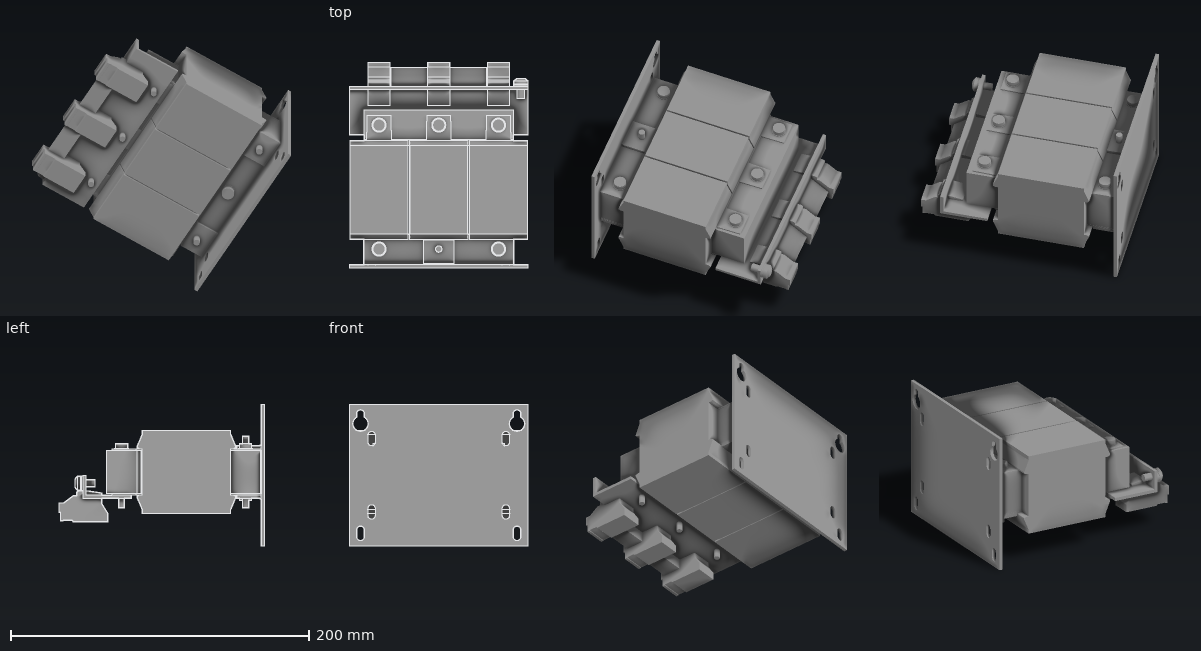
import cadquery as cq


PLATE_WIDTH = 120.0
PLATE_HEIGHT = 95.0
PLATE_THICKNESS = 2.3
KEYHOLE_X = 52.5
KEYHOLE_Z = 34.5
KEYHOLE_DIAMETER = 10.1
KEYHOLE_NECK_TOP = 43.8
SLOT_WIDTH = 5.0
SLOT_LENGTH = 9.5
LOWER_SLOT_Z = -39.0
INNER_SLOT_X = 45.0
INNER_SLOT_Z = 24.6

PHASE_PITCH = 40.0
CORE_MID_Z = 2.2
CORE_WIDTH = 100.1
CORE_HEIGHT = 29.0
CORE_FRONT = 2.6
CORE_BACK = 106.2
CORE_STEM_WIDTH = 99.9
LINER_WIDTH = 100.4
LINER_THICKNESS = 1.0
LINER_FLANGE_THICKNESS = 0.7
LINER_BACK = 86.3
LINER_HEIGHT = CORE_HEIGHT + 2 * LINER_THICKNESS
COIL_WIDTH = 39.0
COIL_FRONT = 22.8
COIL_BACK = 82.2
COIL_HEIGHT = 56.0
LIP_REACH = 3.5
LIP_OUTER_RISE = 25.3
LIP_EDGE_RISE = 17.1
LIP_BEVEL_WIDTH = 1.7
LIP_BEVEL_RISE = 0.7
LINER_TAB_WIDTH = 15.9
LINER_TAB_ROOT_WIDTH = 16.7
LINER_TAB_BACK = 102.5
LIP_BACK = COIL_BACK + LIP_REACH
LINER_TOP = CORE_MID_Z + LINER_HEIGHT / 2
LINER_BOTTOM = CORE_MID_Z - LINER_HEIGHT / 2

LUG_WIDTH = 20.6
LUG_THICKNESS = 2.2
LUG_BACK = 18.9
LUG_FOOT_DEPTH = 0.8
LUG_FOOT_RISE = 0.5

FRONT_BOLT_Y = 12.8
BACK_BOLT_Y = 96.0
FRONT_BOLT_DIAMETER = 4.3
BACK_BOLT_DIAMETER = 3.9
BOLT_TIP_DEPTH = 8.5
WASHER_DIAMETER = 9.4
WASHER_THICKNESS = 0.4
HEAD_DIAMETER = 8.3
HEAD_HEIGHT = 3.6

BRACKET_FRONT = 89.4
BRACKET_BACK = 122.0
BRACKET_THICKNESS = 2.2
BRACKET_HEIGHT = 15.3
BRACKET_BOTTOM = LINER_BOTTOM - BRACKET_THICKNESS
TERMINAL_WIDTH = 14.9
TERMINAL_OUTLINE = [
    (138.1, -18.5), (134.8, -18.5), (128.3, -13.7), (126.1, -13.7), (126.1, -11.3), (125.0, -10.5),
    (118.2, -10.5), (109.3, -11.9), (109.3, -19.0), (105.1, -25.7), (105.1, -31.2), (128.5, -31.2),
    (129.3, -30.2), (135.0, -30.2), (135.2, -30.7), (137.0, -30.7), (137.0, -24.9), (138.1, -24.9),
]
SPACER_WIDTH = 64.4
SPACER_OUTLINE = [(134.7, -23.2), (BRACKET_BACK, -13.7), (BRACKET_BACK, -23.2)]

EARTH_X = 55.1
EARTH_Z = -5.4
EARTH_SHANK_DIAMETER = 5.0
EARTH_TIP_Y = 113.8
EARTH_WASHERS = [(9.8, 0.8), (9.1, 0.8)]
EARTH_HEAD_DIAMETER = 9.7
EARTH_HEAD_HEIGHT = 2.1
EARTH_DOME_HEIGHT = 1.7
EARTH_DOME_TOP_DIAMETER = 5.4


def block(width, y_range, z_range, x_mid=0):
    """Box centred on x_mid, spanning the given Y and Z ranges."""
    y_min, y_max = y_range
    z_min, z_max = z_range
    box = cq.Workplane("XY").box(width, y_max - y_min, z_max - z_min)
    return box.translate((x_mid, (y_min + y_max) / 2, (z_min + z_max) / 2))


def extrude_along_x(outline, width, x_mid=0):
    """Prism of a (Y, Z) outline, centred on x_mid."""
    prism = cq.Workplane("YZ").polyline(outline).close().extrude(width / 2, both=True)
    return prism.translate((x_mid, 0, 0))


def upright_cylinder(diameter, x, y, z_start, height):
    """Cylinder along Z; a negative height runs it downwards."""
    return cq.Workplane("XY", origin=(x, y, z_start)).circle(diameter / 2).extrude(height)


def mounting_plate():
    plate = block(PLATE_WIDTH, (0, PLATE_THICKNESS), (-PLATE_HEIGHT / 2, PLATE_HEIGHT / 2))
    neck_bottom = KEYHOLE_Z - SLOT_WIDTH / 2
    neck_length = KEYHOLE_NECK_TOP - neck_bottom
    neck_mid = (KEYHOLE_NECK_TOP + neck_bottom) / 2
    slots = [
        (KEYHOLE_X, neck_mid, neck_length),
        (KEYHOLE_X, LOWER_SLOT_Z, SLOT_LENGTH),
        (INNER_SLOT_X, INNER_SLOT_Z, SLOT_LENGTH),
        (INNER_SLOT_X, -INNER_SLOT_Z, SLOT_LENGTH),
    ]
    for side in (-1, 1):
        for x, z, length in slots:
            slot = cq.Workplane("XZ").center(side * x, z).slot2D(length, SLOT_WIDTH, 90)
            plate = plate.cut(slot.extrude(-PLATE_THICKNESS))
        keyhole = cq.Workplane("XZ").center(side * KEYHOLE_X, KEYHOLE_Z).circle(KEYHOLE_DIAMETER / 2)
        plate = plate.cut(keyhole.extrude(-PLATE_THICKNESS))
    return plate


def core():
    """Front and back yokes, and the narrower stem that joins the back yoke to the coils."""
    core_z = (CORE_MID_Z - CORE_HEIGHT / 2, CORE_MID_Z + CORE_HEIGHT / 2)
    front_yoke = block(CORE_WIDTH, (CORE_FRONT, COIL_FRONT), core_z)
    stem = block(CORE_STEM_WIDTH, (COIL_BACK, LIP_BACK), core_z)
    back_yoke = block(CORE_WIDTH, (LIP_BACK, CORE_BACK), core_z)
    return front_yoke.union(stem).union(back_yoke)


def liners():
    """Sheets above and below the core in front of and behind the coils, plus a rear flange."""
    flange_y = (COIL_BACK, COIL_BACK + LINER_FLANGE_THICKNESS)
    sheets = block(LINER_WIDTH, flange_y, (LINER_BOTTOM, LINER_TOP))
    for z_min in (LINER_BOTTOM, LINER_TOP - LINER_THICKNESS):
        sheet_z = (z_min, z_min + LINER_THICKNESS)
        for sheet_y in ((PLATE_THICKNESS, COIL_FRONT), (COIL_BACK, LINER_BACK)):
            sheets = sheets.union(block(LINER_WIDTH, sheet_y, sheet_z))
    return sheets


def liner_tab(x_mid):
    """Tapered tab over and under the back yoke."""
    outline = [
        (x_mid - LINER_TAB_ROOT_WIDTH / 2, LINER_BACK),
        (x_mid - LINER_TAB_WIDTH / 2, LINER_TAB_BACK),
        (x_mid + LINER_TAB_WIDTH / 2, LINER_TAB_BACK),
        (x_mid + LINER_TAB_ROOT_WIDTH / 2, LINER_BACK),
    ]
    sheet = cq.Workplane("XY", origin=(0, 0, LINER_BOTTOM)).polyline(outline).close()
    return sheet.extrude(LINER_HEIGHT)


def coil(x_mid):
    """Coil block with flared lips at its front and back, above and below the core."""
    mid = CORE_MID_Z
    body = block(
        COIL_WIDTH, (COIL_FRONT, COIL_BACK), (mid - COIL_HEIGHT / 2, mid + COIL_HEIGHT / 2), x_mid
    )
    for face, outward in ((COIL_FRONT, -1), (COIL_BACK, 1)):
        edge = face + outward * LIP_REACH
        for up in (-1, 1):
            lip_outline = [
                (face, mid + up * LINER_HEIGHT / 2),
                (edge - outward * LIP_BEVEL_WIDTH, mid + up * LINER_HEIGHT / 2),
                (edge, mid + up * (LINER_HEIGHT / 2 + LIP_BEVEL_RISE)),
                (edge, mid + up * LIP_EDGE_RISE),
                (face, mid + up * LIP_OUTER_RISE),
            ]
            body = body.union(extrude_along_x(lip_outline, COIL_WIDTH, x_mid))
    return body


def plate_lug(x_mid, seat_z, up):
    """Lug on the plate, lying on the front yoke, with a thicker foot at the plate."""
    tip_z = seat_z + up * LUG_THICKNESS
    foot_z = tip_z + up * LUG_FOOT_RISE
    lug = block(LUG_WIDTH, (PLATE_THICKNESS, LUG_BACK), sorted((seat_z, tip_z)), x_mid)
    foot_y = (PLATE_THICKNESS, PLATE_THICKNESS + LUG_FOOT_DEPTH)
    return lug.union(block(LUG_WIDTH, foot_y, sorted((seat_z, foot_z)), x_mid))


def clamping_bolt(x, y, diameter, up):
    """Bolt through a yoke; its head is on top for up = 1 and underneath for up = -1."""
    head_seat = LINER_TOP if up > 0 else LINER_BOTTOM
    shank = upright_cylinder(diameter, x, y, head_seat, -up * (LINER_HEIGHT + BOLT_TIP_DEPTH))
    washer = upright_cylinder(WASHER_DIAMETER, x, y, head_seat, up * WASHER_THICKNESS)
    head = upright_cylinder(HEAD_DIAMETER, x, y, head_seat, up * HEAD_HEIGHT)
    return shank.union(washer).union(head)


def terminal_bracket():
    shelf_y = (BRACKET_FRONT, BRACKET_BACK)
    shelf = block(PLATE_WIDTH, shelf_y, (BRACKET_BOTTOM, LINER_BOTTOM))
    wall_y = (BRACKET_BACK - BRACKET_THICKNESS, BRACKET_BACK)
    wall = block(PLATE_WIDTH, wall_y, (BRACKET_BOTTOM, BRACKET_BOTTOM + BRACKET_HEIGHT))
    return shelf.union(wall)


def earth_screw():
    """Domed screw with two washers, pointing toward the plate through the bracket wall."""

    def disc(diameter, y_start, length):
        plane = cq.Workplane("XZ", origin=(EARTH_X, y_start, EARTH_Z))
        return plane.circle(diameter / 2).extrude(-length)

    screw = disc(EARTH_SHANK_DIAMETER, EARTH_TIP_Y, BRACKET_BACK - EARTH_TIP_Y)
    y = BRACKET_BACK
    for diameter, thickness in EARTH_WASHERS:
        screw = screw.union(disc(diameter, y, thickness))
        y += thickness
    head = disc(EARTH_HEAD_DIAMETER, y, EARTH_HEAD_HEIGHT + EARTH_DOME_HEIGHT)
    dome_inset = (EARTH_HEAD_DIAMETER - EARTH_DOME_TOP_DIAMETER) / 2
    head = head.faces(">Y").chamfer(EARTH_DOME_HEIGHT, dome_inset)
    return screw.union(head)


result = mounting_plate().union(core()).union(liners())

for phase in (-1, 0, 1):
    phase_x = phase * PHASE_PITCH
    bolt_up = -1 if phase == 0 else 1
    lug_seat = LINER_TOP if phase == 0 else LINER_BOTTOM
    result = result.union(coil(phase_x))
    result = result.union(liner_tab(phase_x))
    result = result.union(plate_lug(phase_x, lug_seat, -bolt_up))
    result = result.union(clamping_bolt(phase_x, FRONT_BOLT_Y, FRONT_BOLT_DIAMETER, bolt_up))
    result = result.union(clamping_bolt(phase_x, BACK_BOLT_Y, BACK_BOLT_DIAMETER, 1))

result = result.union(terminal_bracket())
for phase in (-1, 0, 1):
    result = result.union(extrude_along_x(TERMINAL_OUTLINE, TERMINAL_WIDTH, phase * PHASE_PITCH))
result = result.union(extrude_along_x(SPACER_OUTLINE, SPACER_WIDTH))
result = result.union(earth_screw())